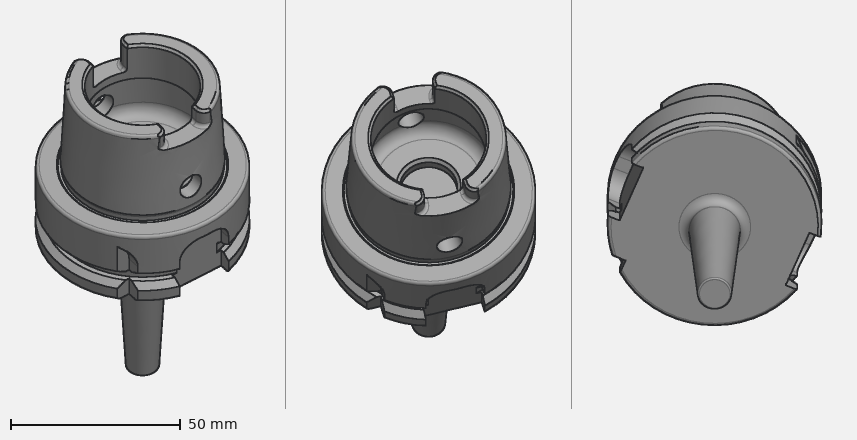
import math

import cadquery as cq


shank_height = 32.0
taper_slope = 0.05
gauge_height = 6.3
gauge_radius = 24.05
rim_fillet = 1.0
neck_top = 2.0
neck_bottom = 1.2
neck_radius = 24.05
relief_radius = 25.3
relief_depth = 0.4

mouth_radius = 17.0
mouth_bottom = 18.9
clamp_radius = 19.8
clamp_angle = 30.0
clamp_top = mouth_bottom - (clamp_radius - mouth_radius) * math.tan(math.radians(clamp_angle))
cavity_floor = 2.8
cavity_fillet = 4.0
thread_radius = 9.5
thread_depth = 4.0
thread_chamfer = 1.0

flange_radius = 31.5
flange_height = 26.0
flange_fillet = 1.0
groove_radius = 27.5
groove_center = -18.1
groove_half_width = 1.7
groove_chamfer_radius = 29.2
groove_mouth_half_width = 3.45

total_height = 112.0
nose_tip = shank_height - total_height
nose_root_radius = 7.55
nose_tip_radius = 5.0
nose_root_fillet = 3.0
nose_tip_fillet = 0.5

slot_half_width = 6.2
slot_corner_radius = 3.0
slot_shoulder = 20.8
slot_floor_fillet = 1.2
rim_chamfer = 0.8
chamfer_angle = 45.0
deep_slot_floor = 22.0
shallow_slot_floor = 26.0

cross_hole_radius = 3.9
cross_hole_height = 8.8

keyway_width = 18.0
keyway_floor = 26.5
keyway_top = -5.0
keyway_corner = 7.0
notch_offset = 20.0
notch_top = -4.0
notch_corner = 8.0
flat_distance = 30.0
flat_angle = 135.0
flat_top = -4.0
flat_height = 6.0

clearance = 5.0
arc_middle = 1 - math.sqrt(0.5)


def taper_radius(height):
    return gauge_radius + taper_slope * (gauge_height - height)


def make_turned_body():
    """The turned outside: shank, flange, gripper groove and tool nose."""
    fillet_mid = flange_fillet * arc_middle
    rim_radius = taper_radius(shank_height)
    rim_mid = rim_fillet * arc_middle
    root_mid = nose_root_fillet * arc_middle
    tip_mid = nose_tip_fillet * arc_middle
    flange_bottom = -flange_height
    return (
        cq.Workplane("XZ")
        .moveTo(0, shank_height)
        .lineTo(rim_radius - rim_fillet, shank_height)
        .threePointArc(
            (rim_radius - rim_mid, shank_height - rim_mid),
            (taper_radius(shank_height - rim_fillet), shank_height - rim_fillet),
        )
        .lineTo(taper_radius(neck_top), neck_top)
        .lineTo(neck_radius, neck_bottom)
        .lineTo(neck_radius, -relief_depth)
        .lineTo(relief_radius - relief_depth, -relief_depth)
        .lineTo(relief_radius, 0)
        .lineTo(flange_radius - flange_fillet, 0)
        .threePointArc(
            (flange_radius - fillet_mid, -fillet_mid),
            (flange_radius, -flange_fillet),
        )
        .lineTo(flange_radius, groove_center + groove_mouth_half_width)
        .lineTo(groove_chamfer_radius, groove_center + groove_half_width)
        .lineTo(groove_radius, groove_center + groove_half_width)
        .lineTo(groove_radius, groove_center - groove_half_width)
        .lineTo(groove_chamfer_radius, groove_center - groove_half_width)
        .lineTo(flange_radius, groove_center - groove_mouth_half_width)
        .lineTo(flange_radius, flange_bottom + flange_fillet)
        .threePointArc(
            (flange_radius - fillet_mid, flange_bottom + fillet_mid),
            (flange_radius - flange_fillet, flange_bottom),
        )
        .lineTo(nose_root_radius + nose_root_fillet, flange_bottom)
        .threePointArc(
            (nose_root_radius + root_mid, flange_bottom - root_mid),
            (nose_root_radius, flange_bottom - nose_root_fillet),
        )
        .lineTo(nose_tip_radius, nose_tip + nose_tip_fillet)
        .threePointArc(
            (nose_tip_radius - tip_mid, nose_tip + tip_mid),
            (nose_tip_radius - nose_tip_fillet, nose_tip),
        )
        .lineTo(0, nose_tip)
        .close()
        .revolve(360, (0, 0, 0), (0, 1, 0))
    )


def make_cavity():
    """The stepped bore of the shank with its clamping undercut and blind hole."""
    fillet_mid = cavity_fillet * arc_middle
    return (
        cq.Workplane("XZ")
        .moveTo(0, shank_height)
        .lineTo(mouth_radius + rim_chamfer, shank_height)
        .lineTo(mouth_radius, shank_height - rim_chamfer)
        .lineTo(mouth_radius, mouth_bottom)
        .lineTo(clamp_radius, clamp_top)
        .lineTo(clamp_radius, cavity_floor + cavity_fillet)
        .threePointArc(
            (clamp_radius - fillet_mid, cavity_floor + fillet_mid),
            (clamp_radius - cavity_fillet, cavity_floor),
        )
        .lineTo(thread_radius, cavity_floor)
        .lineTo(thread_radius - thread_chamfer, cavity_floor - thread_chamfer)
        .lineTo(thread_radius - thread_chamfer, cavity_floor - thread_depth)
        .lineTo(0, cavity_floor - thread_depth)
        .close()
        .revolve(360, (0, 0, 0), (0, 1, 0))
    )


def drive_slot_outline(side, height):
    """Outline of a rim slot on the +X (side = 1) or -X (side = -1) side, flaring to a flat shoulder."""
    corner_start = slot_shoulder - slot_corner_radius
    corner_mid = slot_corner_radius * arc_middle
    shoulder_y = slot_half_width + slot_corner_radius
    outer_x = taper_radius(0) + clearance
    outer_y = taper_radius(0)
    inner_x = mouth_radius / 2
    return (
        cq.Workplane("XY", origin=(0, 0, height))
        .moveTo(side * inner_x, -slot_half_width)
        .lineTo(side * corner_start, -slot_half_width)
        .threePointArc(
            (side * (slot_shoulder - corner_mid), -slot_half_width - corner_mid),
            (side * slot_shoulder, -shoulder_y),
        )
        .lineTo(side * slot_shoulder, -outer_y)
        .lineTo(side * outer_x, -outer_y)
        .lineTo(side * outer_x, outer_y)
        .lineTo(side * slot_shoulder, outer_y)
        .lineTo(side * slot_shoulder, shoulder_y)
        .threePointArc(
            (side * (slot_shoulder - corner_mid), slot_half_width + corner_mid),
            (side * corner_start, slot_half_width),
        )
        .lineTo(side * inner_x, slot_half_width)
        .close()
    )


def make_drive_slot_cutters(side, floor):
    """The cutters for a rim slot: the slot with rounded floor edges, and the chamfer along its top."""
    slot = drive_slot_outline(side, floor).extrude(shank_height - floor + clearance)
    slot = slot.faces("<Z").edges().fillet(slot_floor_fillet)
    chamfer = drive_slot_outline(side, shank_height - rim_chamfer)
    return slot, chamfer.extrude(2 * rim_chamfer, taper=-chamfer_angle)


def make_keyway(side):
    """A flange keyway, open at the bottom and rounded at its upper corners."""
    depth = flange_radius + clearance - keyway_floor
    height = flange_height + keyway_top + clearance
    return (
        cq.Workplane("XY", origin=(side * (keyway_floor + depth / 2), 0, keyway_top - height))
        .rect(depth, keyway_width)
        .extrude(height)
        .edges("|X and >Z")
        .fillet(keyway_corner)
    )


def make_corner_notch():
    """A notch in the +X -Y corner of the flange, with a rounded roof."""
    width = 2 * notch_corner
    height = flange_height + notch_top + clearance
    return (
        cq.Workplane("XY", origin=(notch_offset, -notch_offset - width, notch_top - height))
        .rect(width, width, centered=False)
        .extrude(height)
        .edges("|X and >Z and >Y")
        .fillet(notch_corner)
    )


def make_flat():
    """A short flat on the flange, facing halfway between -X and +Y."""
    depth = flange_radius + clearance - flat_distance
    return (
        cq.Workplane("XY")
        .box(depth, 2 * flange_radius, flat_height, centered=(False, True, False))
        .translate((flat_distance, 0, flat_top - flat_height))
        .rotate((0, 0, 0), (0, 0, 1), flat_angle)
    )


def make_cross_hole():
    """A hole along X through both walls of the shank."""
    length = 2 * (taper_radius(0) + clearance)
    return (
        cq.Workplane("YZ", origin=(-length / 2, 0, cross_hole_height))
        .circle(cross_hole_radius)
        .extrude(length)
    )


body = make_turned_body().cut(make_cavity())
for side, floor in ((-1, deep_slot_floor), (1, shallow_slot_floor)):
    for cutter in make_drive_slot_cutters(side, floor):
        body = body.cut(cutter)

body = body.cut(make_cross_hole())
for side in (-1, 1):
    body = body.cut(make_keyway(side))
result = body.cut(make_corner_notch()).cut(make_flat())